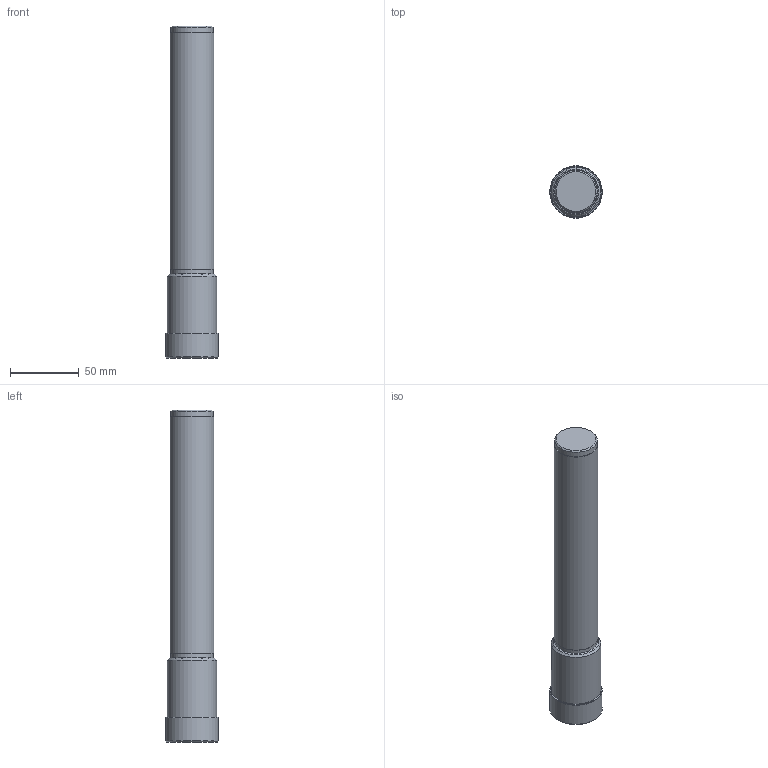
import cadquery as cq

flange_diameter = 38.1
shank_diameter = 35.9
sleeve_diameter = 31.75
barrel_diameter = 30.8

total_height = 241.3
flange_height = 18.0
shoulder_height = 61.3
sleeve_bottom = 64.4
sleeve_top = 236.4

flange_bottom_chamfer = 0.8
flange_top_chamfer = 0.25
top_chamfer = 0.95

shoulder_slope_drop = 0.4
shoulder_bevel_width = 1.3
shoulder_bevel_bottom = shoulder_height - 1.8


def revolve_profile(points):
    """Solid of revolution about Z from (radius, height) points."""
    on_minus_x = [(-radius, height) for radius, height in points]
    return cq.Workplane("XZ").polyline(on_minus_x).close().revolve(360, (0, 0, 0), (0, 1, 0))


def make_core():
    """Turned body: flange, shank, beveled shoulder and long barrel."""
    flange_radius = flange_diameter / 2
    shank_radius = shank_diameter / 2
    barrel_radius = barrel_diameter / 2
    return revolve_profile([
        (0, 0),
        (flange_radius - flange_bottom_chamfer, 0),
        (flange_radius, flange_bottom_chamfer),
        (flange_radius, flange_height - flange_top_chamfer),
        (flange_radius - flange_top_chamfer, flange_height),
        (shank_radius, flange_height),
        (shank_radius, shoulder_bevel_bottom),
        (shank_radius - shoulder_bevel_width, shoulder_height - shoulder_slope_drop),
        (barrel_radius, shoulder_height),
        (barrel_radius, total_height - top_chamfer),
        (barrel_radius - top_chamfer, total_height),
        (0, total_height),
    ])


def make_sleeve():
    """Thin tube around the barrel, leaving both ends of the barrel bare."""
    outer_radius = sleeve_diameter / 2
    bore_radius = barrel_diameter / 2
    return revolve_profile([
        (bore_radius, sleeve_bottom),
        (outer_radius, sleeve_bottom),
        (outer_radius, sleeve_top),
        (bore_radius, sleeve_top),
    ])


core = make_core()
sleeve = make_sleeve()

result = cq.Compound.makeCompound([core.val(), sleeve.val()])